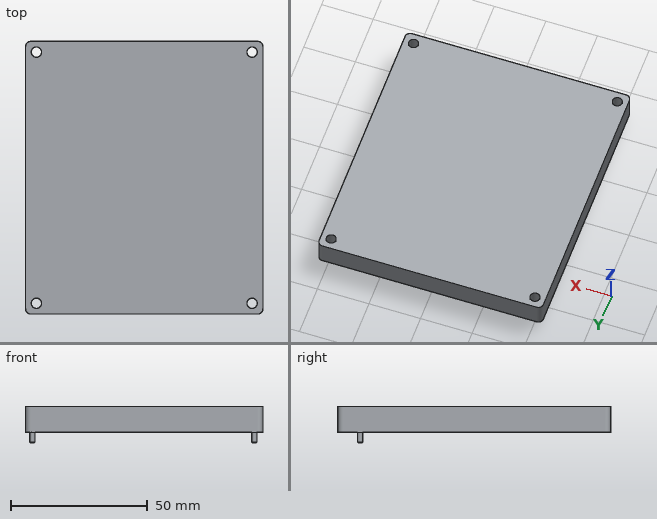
import cadquery as cq

width = 87.0
depth = 100.0
plate_height = 9.5
corner_radius = 2.0

hole_diameter = 3.7
hole_inset = 4.0

pin_diameter = 2.0
pin_length = 3.9
pin_chamfer = 0.4
pin_left_inset = 2.5
pin_right_inset = 3.2
pin_front_inset = 8.2


def make_plate():
    """Rounded plate standing on Z = 0 with a through hole in each corner."""
    plate = cq.Workplane("XY").box(width, depth, plate_height, centered=(True, True, False))
    plate = plate.edges("|Z").fillet(corner_radius)
    holes = (
        cq.Workplane("XY")
        .rect(width - 2 * hole_inset, depth - 2 * hole_inset, forConstruction=True)
        .vertices()
        .circle(hole_diameter / 2)
        .extrude(plate_height)
    )
    return plate.cut(holes)


def make_pin(x, y):
    """Pin hanging from the plate underside, chamfered at its free end."""
    pin = cq.Workplane("XY").center(x, y).circle(pin_diameter / 2).extrude(-pin_length)
    return pin.faces("<Z").chamfer(pin_chamfer)


pin_y = -depth / 2 + pin_front_inset
pin_x_positions = (-width / 2 + pin_left_inset, width / 2 - pin_right_inset)

result = make_plate()
for pin_x in pin_x_positions:
    result = result.union(make_pin(pin_x, pin_y))